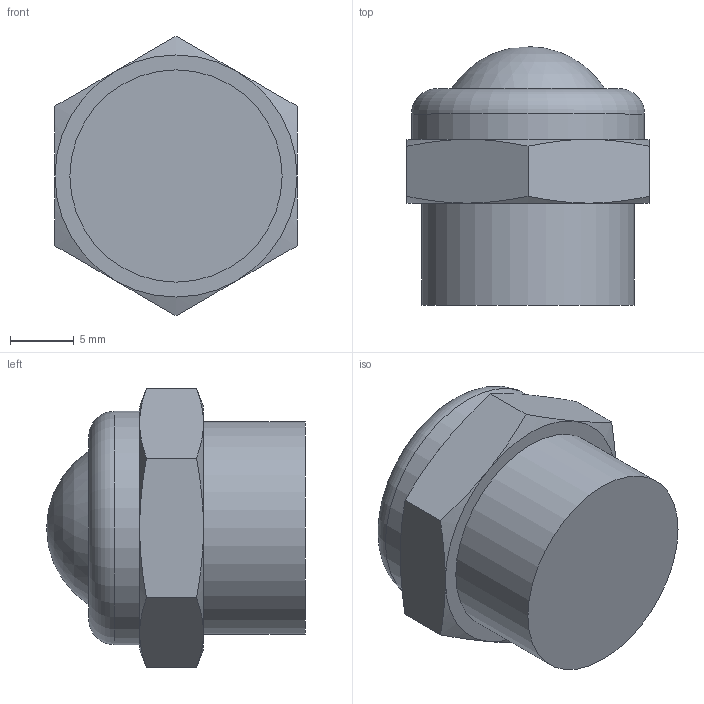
import cadquery as cq
import math

SHANK_DIAMETER = 16.66
SHANK_LENGTH = 8.0
HEX_ACROSS_FLATS = 19.0
HEX_THICKNESS = 5.0
HEX_SIDES = 6
HEX_CHAMFER_ANGLE = 20.0
COLLAR_DIAMETER = 18.3
COLLAR_LENGTH = 4.0
COLLAR_EDGE_RADIUS = 2.0
BALL_RADIUS = 7.15
BALL_PROTRUSION = 3.3

HEX_END = SHANK_LENGTH + HEX_THICKNESS
COLLAR_END = HEX_END + COLLAR_LENGTH
BALL_CENTER = COLLAR_END + BALL_PROTRUSION - BALL_RADIUS
HEX_HALF_SIDE_ANGLE = 180 / HEX_SIDES
HEX_ACROSS_CORNERS = HEX_ACROSS_FLATS / math.cos(math.radians(HEX_HALF_SIDE_ANGLE))


def section_plane(station):
    """Plane across the axis at the given Y, with its normal along +Y."""
    return cq.Plane(origin=(0, station, 0), xDir=(-1, 0, 0), normal=(0, 1, 0))


def disc(diameter, start, length):
    return cq.Workplane(section_plane(start)).circle(diameter / 2).extrude(length)


def make_shank():
    return disc(SHANK_DIAMETER, 0, SHANK_LENGTH)


def make_hex():
    """Hexagon with corners on Z, its corners bevelled by a double cone on both faces."""
    prism = (
        cq.Workplane(section_plane(SHANK_LENGTH))
        .polygon(HEX_SIDES, HEX_ACROSS_CORNERS)
        .extrude(HEX_THICKNESS)
        .rotate((0, 0, 0), (0, 1, 0), HEX_HALF_SIDE_ANGLE)
    )
    face_radius = HEX_ACROSS_FLATS / 2
    corner_radius = HEX_ACROSS_CORNERS / 2
    bevel_depth = (corner_radius - face_radius) * math.tan(math.radians(HEX_CHAMFER_ANGLE))
    envelope = (
        cq.Workplane("XY")
        .moveTo(0, SHANK_LENGTH)
        .lineTo(face_radius, SHANK_LENGTH)
        .lineTo(corner_radius, SHANK_LENGTH + bevel_depth)
        .lineTo(corner_radius, HEX_END - bevel_depth)
        .lineTo(face_radius, HEX_END)
        .lineTo(0, HEX_END)
        .close()
        .revolve(360, (0, 0, 0), (0, 1, 0))
    )
    return prism.intersect(envelope)


def make_collar():
    return disc(COLLAR_DIAMETER, HEX_END, COLLAR_LENGTH).faces(">Y").edges().fillet(COLLAR_EDGE_RADIUS)


def make_ball():
    """Spherical cap that stands out of the collar, its pole on the Y axis."""
    return (
        cq.Workplane("XY")
        .moveTo(0, BALL_CENTER)
        .lineTo(BALL_RADIUS, BALL_CENTER)
        .radiusArc((0, BALL_CENTER + BALL_RADIUS), -BALL_RADIUS)
        .close()
        .revolve(360, (0, 0, 0), (0, 1, 0))
    )


result = make_shank().union(make_hex()).union(make_collar()).union(make_ball())